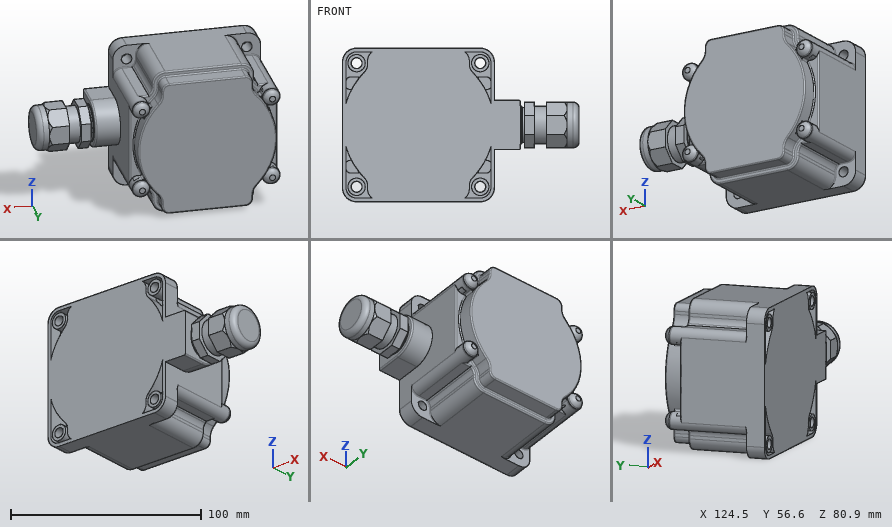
import cadquery as cq
import math


flange_top = 10.0
body_top = 47.1
cover_top = 56.59

width = 80.0
height = 80.85
flange_corner_radius = 7.5
ledge_fillet = 0.4

disc_radius = height / 2
lobe_half_width = 27.4
lobe_corner_radius = 6.8
lobe_root_radius = 5.0

box_height = 55.1
pillar_radius = 4.8
pillar_x = width / 2 - pillar_radius
pillar_z = box_height / 2 - pillar_radius
body_edge_fillet = 0.8

cover_inset = 3.0
cover_edge_fillet = 0.7
cover_root_fillet = 0.7
pillar_blend_radius = 0.8
edge_tolerance = 0.01

cap_base_y = 52.8
cap_shoulder_radius, cap_shoulder_y = 4.75, 53.5
cap_rim_radius, cap_rim_y = 4.4, 54.3
cap_mid_radius, cap_mid_y = 3.5, 55.5
cap_tip_radius, cap_tip_y = 1.6, 56.5

hole_pitch = 65.0
hole_diameter = 5.6
boss_diameter = 9.1
pocket_width = 76.2
pocket_height = 76.8
pocket_corner_radius = 5.6
pocket_inset = 0.65
pocket_depth = 8.0
deep_pocket_height = 50.6
deep_pocket_corner_radius = 2.55
deep_pocket_depth = 44.0
pillar_bore_radius = 4.25
pillar_bore_depth = 50.0

gland_y = 14.6
block_radius = 13.0
block_end = 53.55
block_edge_fillet = 0.8
seal_radius = 10.1
seal_chamfer_start = 54.1
seal_end = 54.7
neck_radius = 9.3
nut_half_width = 12.05
nut_sides = 8
nut_corner_radius = nut_half_width / math.cos(math.pi / nut_sides)
flange_nut_start, flange_nut_end = 55.7, 61.0
gland_body_radius = 9.95
cap_nut_start, cap_nut_end = 67.3, 78.2
cap_nut_cone_length = 1.6
gland_end = 124.49 - width / 2
gland_end_fillet = 3.2


def on_level(y):
    """Workplane at level y whose local axes are X and Z; a negative extrusion goes toward +Y."""
    return cq.Workplane("XZ", origin=(0, y, 0))


def rounded_block(size_x, size_z, radius, start, end):
    return on_level(start).rect(size_x, size_z).extrude(start - end).edges("|Y").fillet(radius)


def four_cylinders(x, z, radius, start, end):
    centers = on_level(start).rect(2 * x, 2 * z, forConstruction=True).vertices()
    return centers.circle(radius).extrude(start - end)


def lobed_block(inset, start, end):
    """Disc with two lobes, its whole outline moved inward by the inset."""
    radius = disc_radius - inset
    side = lobe_half_width - inset
    corner = lobe_corner_radius - inset
    root = lobe_root_radius + inset
    corner_x = side - corner
    corner_z = radius - corner
    root_x = side + root
    root_z = math.sqrt((radius + root) ** 2 - root_x**2)
    touch_x = root_x * radius / (radius + root)
    touch_z = root_z * radius / (radius + root)
    root_angle = (math.pi + math.atan2(root_z - touch_z, root_x - touch_x)) / 2
    root_mid_x = root_x - root * math.sin(root_angle)
    root_mid_z = root_z + root * math.cos(root_angle)
    diagonal = corner * math.sqrt(0.5)
    outline = (
        on_level(start)
        .moveTo(0, radius)
        .lineTo(corner_x, radius)
        .threePointArc((corner_x + diagonal, corner_z + diagonal), (side, corner_z))
        .lineTo(side, root_z)
        .threePointArc((root_mid_x, root_mid_z), (touch_x, touch_z))
        .threePointArc((radius, 0), (touch_x, -touch_z))
        .threePointArc((root_mid_x, -root_mid_z), (side, -root_z))
        .lineTo(side, -corner_z)
        .threePointArc((corner_x + diagonal, -corner_z - diagonal), (corner_x, -radius))
        .lineTo(0, -radius)
        .close()
    )
    half = outline.extrude(start - end)
    return half.union(half.mirror("YZ")).clean()


def body_block(start, end):
    """Lobed block trimmed to the housing width and joined to a box whose cut corners the pillars fill."""
    slab = on_level(start).rect(width, height).extrude(start - end)
    box = on_level(start).rect(width, box_height).extrude(start - end)
    box = box.edges("|Y").chamfer(pillar_radius)
    return lobed_block(0, start, end).intersect(slab).union(box)


def with_filleted_root(block, level, radius):
    """Join the block to a wide plate that ends at the level and fillet the corner between them."""
    plate = on_level(0).rect(2 * width, 2 * height).extrude(-level)
    joined = block.union(plate)
    slice_low = (-width, level - edge_tolerance, -height)
    slice_high = (width, level + edge_tolerance, height)
    root = joined.edges(cq.selectors.BoxSelector(slice_low, slice_high, True))
    return root.fillet(radius)


def make_body():
    """Flange, body and lower pillars, with the body's top edge and its root on the flange filleted."""
    body = body_block(0, body_top).faces(">Y").edges().fillet(body_edge_fillet)
    body = body.union(four_cylinders(pillar_x, pillar_z, pillar_radius, 0, body_top))
    flange = rounded_block(width, height, flange_corner_radius, 0, cover_top)
    return with_filleted_root(body, flange_top, ledge_fillet).intersect(flange)


def is_pillar_corner(edge):
    """True for an edge along Y where a pillar meets the disc wall of the cover."""
    center = edge.Center()
    from_axis = math.hypot(center.x, center.z)
    from_pillar = math.hypot(abs(center.x) - pillar_x, abs(center.z) - pillar_z)
    on_cover = abs(from_axis - (disc_radius - cover_inset)) < edge_tolerance
    return on_cover and abs(from_pillar - pillar_radius) < edge_tolerance


def make_cover():
    """Cover with a filleted foot on the body, and its pillars blended in, all standing on the body."""
    cover = lobed_block(cover_inset, body_top, cover_top)
    cover = cover.faces(">Y").edges().fillet(cover_edge_fillet)
    above_body = on_level(body_top).rect(width, height).extrude(body_top - cover_top)
    cover = with_filleted_root(cover, body_top, cover_root_fillet).intersect(above_body)
    pillars = four_cylinders(pillar_x, pillar_z, pillar_radius, body_top, cap_base_y)
    blended = lobed_block(cover_inset, body_top, cap_base_y).union(pillars)
    corners = blended.edges("|Y").filter(is_pillar_corner)
    blended = blended.newObject(corners.vals()).fillet(pillar_blend_radius)
    return cover.union(blended)


def make_pillar_cap():
    profile = (
        cq.Workplane("XY")
        .moveTo(0, cap_base_y)
        .lineTo(pillar_radius, cap_base_y)
        .lineTo(cap_shoulder_radius, cap_shoulder_y)
        .lineTo(cap_rim_radius, cap_rim_y)
        .threePointArc((cap_mid_radius, cap_mid_y), (cap_tip_radius, cap_tip_y))
        .lineTo(0, cap_tip_y)
        .close()
    )
    return profile.revolve(360, (0, 0, 0), (0, 1, 0))


def make_pillar_ends():
    """Capped pillar ends above the body."""
    ends = four_cylinders(pillar_x, pillar_z, pillar_radius, body_top, cap_base_y)
    cap = make_pillar_cap()
    for x in (-pillar_x, pillar_x):
        for z in (-pillar_z, pillar_z):
            ends = ends.union(cap.translate((x, 0, z)))
    return ends


def make_housing():
    top = make_cover().union(make_pillar_ends())
    return make_body().union(top)


def make_pockets():
    """Corner pockets in the mounting face, each with a boss left standing and a deep part in the box."""
    pocket = rounded_block(pocket_width, pocket_height, pocket_corner_radius, 0, pocket_depth)
    boss_place = hole_pitch / 2
    pocket = pocket.cut(four_cylinders(boss_place, boss_place, boss_diameter / 2, 0, pocket_depth))
    deep = rounded_block(pocket_width, deep_pocket_height, deep_pocket_corner_radius, 0, pillar_bore_depth)
    bores = four_cylinders(pillar_x, pillar_z, pillar_bore_radius, deep_pocket_depth, pillar_bore_depth)
    below_roof = on_level(0).rect(width, height).extrude(-deep_pocket_depth)
    deep = deep.intersect(below_roof.union(bores))
    core = lobed_block(pocket_inset, 0, pillar_bore_depth)
    return pocket.union(deep).cut(core)


def make_holes():
    hole_place = hole_pitch / 2
    return four_cylinders(hole_place, hole_place, hole_diameter / 2, 0, flange_top)


def make_block():
    arch = (
        cq.Workplane("YZ")
        .moveTo(0, -block_radius)
        .lineTo(gland_y, -block_radius)
        .threePointArc((gland_y + block_radius, 0), (gland_y, block_radius))
        .lineTo(0, block_radius)
        .close()
        .extrude(block_end)
    )
    return arch.faces(">X").edges("not(<Y)").fillet(block_edge_fillet)


def gland_cylinder(radius, start, end):
    return cq.Workplane("YZ", origin=(start, gland_y, 0)).circle(radius).extrude(end - start)


def nut(start, end):
    """Regular prism around the gland axis, turned so that flats face along Y and Z."""
    section = cq.Workplane("YZ", origin=(start, gland_y, 0)).polygon(nut_sides, 2 * nut_corner_radius)
    prism = section.extrude(end - start)
    return prism.rotate((0, gland_y, 0), (1, gland_y, 0), 180 / nut_sides)


def make_gland():
    seal = gland_cylinder(seal_radius, block_end, seal_end)
    seal = seal.faces(">X").chamfer(seal_end - seal_chamfer_start, seal_radius - neck_radius)
    neck = gland_cylinder(neck_radius, block_end, flange_nut_start)
    barrel = gland_cylinder(gland_body_radius, flange_nut_end, cap_nut_start)
    envelope = gland_cylinder(nut_corner_radius, cap_nut_start, cap_nut_end)
    envelope = envelope.faces(">X").chamfer(cap_nut_cone_length, nut_corner_radius - nut_half_width)
    cap_nut = nut(cap_nut_start, cap_nut_end).intersect(envelope)
    dome = gland_cylinder(nut_half_width, cap_nut_end, gland_end)
    dome = dome.faces(">X").edges().fillet(gland_end_fillet)
    gland = seal.union(neck).union(nut(flange_nut_start, flange_nut_end))
    return gland.union(barrel).union(cap_nut).union(dome)


result = make_housing().union(make_block()).cut(make_pockets()).cut(make_holes()).union(make_gland())